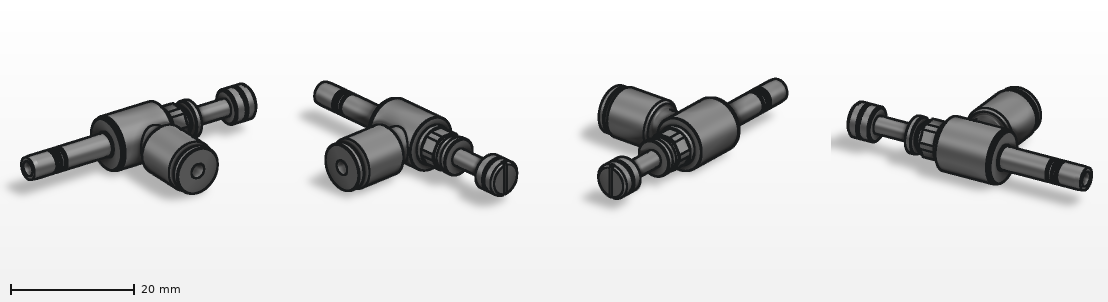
import cadquery as cq
import math


plug_length = 15.5
body_length = 10.25
knob_length = 4.25
overall_length = 43.5
knob_end = 21.3
plug_end = knob_end - overall_length
body_front = plug_end + plug_length
body_back = body_front + body_length
knob_base = knob_end - knob_length

knob_radius = 3.0
knob_top_chamfer = 0.45
knob_base_chamfer = 0.25
knob_groove_radius = 2.75
knob_groove_width = 0.52
knob_groove_depth_from_top = 1.85
slot_width = 0.55
slot_depth = 0.65
stem_radius = 1.52

collar_top = 10.22
collar_width = 1.17
collar_radius = 3.18
collar_chamfer = 0.15
collar_neck_radius = 1.95

cone_top = 8.85
cone_top_radius = 2.15
cone_base = 8.0
cone_base_radius = 2.9
hex_top = 7.4
hex_length = 2.7
hex_turned_diameter = 6.5
hex_across_flats = 6.1
lip_top_radius = 3.3
lip_radius = 3.45
lip_seat_radius = 3.2
lip_rim_top = 4.1
lip_rim_width = 0.25

body_diameter = 9.25
body_radius = body_diameter / 2
body_edge_chamfer = 0.1
end_ring_radius = 4.5
end_ring_width = 0.65
end_ring_step = 0.15
end_ring_chamfer = 0.17

plug_radius = 2.0
plug_tip_radius = 1.9
plug_tip_length = 0.95
plug_root_radius = 2.2
plug_root_length = 0.2
plug_groove_depth = 0.15
barb_groove_width = 0.4
barb_groove_starts = (6.5, 4.75)
vee_groove_width = 0.3
vee_groove_start = 5.5

branch_neck_radius = 3.0
branch_neck_end = 5.9
branch_neck_fillet = 0.45
socket_start = branch_neck_end + branch_neck_fillet
socket_radius = 4.3
socket_chamfer = 0.5
socket_end = 14.4
release_neck_radius = 2.6
release_start = 15.22
release_radius = 4.05
release_start_radius = 3.95
release_start_chamfer = 0.25
release_end_chamfer = 0.15
overall_width = 21.15
branch_end = overall_width - body_radius

bore_radius = 1.25


def turned_y(steps):
    """Solid of revolution about Y from (y, radius) steps."""
    outline = [(0, steps[0][0])]
    outline += [(radius, y) for y, radius in steps]
    outline += [(0, steps[-1][0])]
    return cq.Workplane("XY").polyline(outline).close().revolve(360, (0, 0, 0), (0, 1, 0))


def make_knob():
    groove_top = knob_end - knob_groove_depth_from_top
    groove_bottom = groove_top - knob_groove_width
    knob = turned_y([
        (knob_end, knob_radius - knob_top_chamfer),
        (knob_end - knob_top_chamfer, knob_radius),
        (groove_top, knob_radius),
        (groove_top, knob_groove_radius),
        (groove_bottom, knob_groove_radius),
        (groove_bottom, knob_radius),
        (knob_base + knob_base_chamfer, knob_radius),
        (knob_base, knob_radius - knob_base_chamfer),
    ])
    slot = cq.Workplane("XY").box(slot_width, 2 * slot_depth, 2 * knob_radius)
    return knob.cut(slot.translate((0, knob_end, 0)))


def make_stem_and_collar():
    collar_bottom = collar_top - collar_width
    return turned_y([
        (knob_base, stem_radius),
        (collar_top, stem_radius),
        (collar_top, collar_radius - collar_chamfer),
        (collar_top - collar_chamfer, collar_radius),
        (collar_bottom + collar_chamfer, collar_radius),
        (collar_bottom, collar_radius - collar_chamfer),
        (collar_bottom, collar_neck_radius),
        (cone_top, collar_neck_radius),
    ])


def make_bonnet():
    hex_bottom = hex_top - hex_length
    lip_rim_bottom = lip_rim_top - lip_rim_width
    turned = turned_y([
        (cone_top, cone_top_radius),
        (cone_base, cone_base_radius),
        (hex_top, cone_base_radius),
        (hex_top, hex_turned_diameter / 2),
        (hex_bottom, hex_turned_diameter / 2),
        (hex_bottom, lip_top_radius),
        (lip_rim_top, lip_radius),
        (lip_rim_bottom, lip_radius),
        (body_back, lip_seat_radius),
    ])
    hex_corner_diameter = hex_across_flats / math.cos(math.pi / 6)
    hexagon = (
        cq.Workplane("XZ", origin=(0, hex_top, 0))
        .polygon(6, hex_corner_diameter)
        .extrude(hex_length)
    )
    corner_ring = (
        cq.Workplane("XZ", origin=(0, hex_top, 0))
        .circle(hex_corner_diameter)
        .extrude(hex_length)
        .cut(hexagon)
    )
    return turned.cut(corner_ring)


def make_body():
    ring_back = body_front + end_ring_width
    return turned_y([
        (body_back, body_radius - body_edge_chamfer),
        (body_back - body_edge_chamfer, body_radius),
        (ring_back, body_radius),
        (ring_back - end_ring_step, end_ring_radius),
        (body_front + end_ring_chamfer, end_ring_radius),
        (body_front, end_ring_radius - end_ring_chamfer),
    ])


def make_plug():
    floor_radius = plug_radius - plug_groove_depth

    def barb_groove(start):
        """Groove with a sloped wall toward the body and a square wall toward the tip."""
        top = plug_end + start
        bottom = top - barb_groove_width
        return [
            (top, plug_radius),
            (top - plug_groove_depth, floor_radius),
            (bottom, floor_radius),
            (bottom, plug_radius),
        ]

    vee_top = plug_end + vee_groove_start
    vee_groove = [
        (vee_top, plug_radius),
        (vee_top - vee_groove_width / 2, floor_radius),
        (vee_top - vee_groove_width, plug_radius),
    ]
    back_groove_start, front_groove_start = barb_groove_starts
    return turned_y([
        (body_front, plug_root_radius),
        (body_front - plug_root_length, plug_radius),
        *barb_groove(back_groove_start),
        *vee_groove,
        *barb_groove(front_groove_start),
        (plug_end + plug_tip_length, plug_radius),
        (plug_end, plug_tip_radius),
    ])


def make_branch():
    fillet_top_radius = branch_neck_radius + branch_neck_fillet
    fillet_mid = branch_neck_fillet * math.sqrt(0.5)
    half_section = (
        cq.Workplane("XY")
        .lineTo(0, branch_neck_radius)
        .lineTo(branch_neck_end, branch_neck_radius)
        .threePointArc(
            (branch_neck_end + fillet_mid, fillet_top_radius - fillet_mid),
            (socket_start, fillet_top_radius),
        )
        .lineTo(socket_start, socket_radius - socket_chamfer)
        .lineTo(socket_start + socket_chamfer, socket_radius)
        .lineTo(socket_end, socket_radius)
        .lineTo(socket_end, release_neck_radius)
        .lineTo(release_start, release_neck_radius)
        .lineTo(release_start, release_start_radius)
        .lineTo(release_start + release_start_chamfer, release_radius)
        .lineTo(branch_end - release_end_chamfer, release_radius)
        .lineTo(branch_end, release_radius - release_end_chamfer)
        .lineTo(branch_end, 0)
        .close()
    )
    return half_section.revolve(360, (0, 0, 0), (1, 0, 0))


def make_passage():
    plug_bore = cq.Workplane("XZ").circle(bore_radius).extrude(-plug_end)
    branch_bore = cq.Workplane("YZ").circle(bore_radius).extrude(branch_end)
    elbow = cq.Workplane("XY").sphere(bore_radius)
    return plug_bore.union(branch_bore).union(elbow)


result = (
    make_body()
    .union(make_plug())
    .union(make_branch())
    .union(make_bonnet())
    .union(make_stem_and_collar())
    .union(make_knob())
    .cut(make_passage())
)